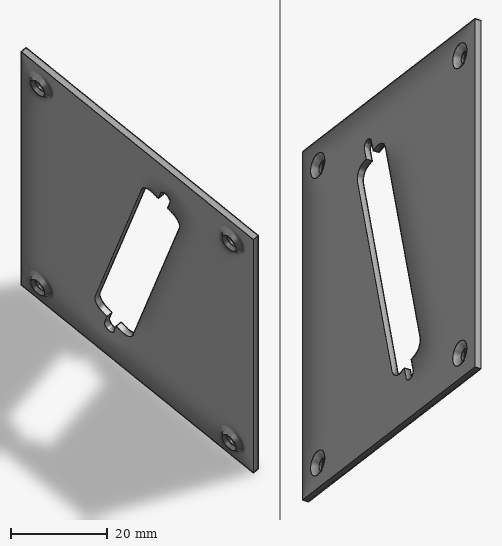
import cadquery as cq

plate_width = 68.1
plate_height = 82.0
plate_thickness = 1.5
overall_depth = 2.6
boss_height = overall_depth - plate_thickness

boss_inset = 6.0
boss_flare_radius = 3.6
boss_base_radius = 2.9
boss_rim_radius = 2.05
flare_height = 0.25
flare_mid_radius = 3.16
flare_mid_height = 0.1

hole_radius = 1.3
countersink_depth = 0.8
neck_length = 0.65
rear_dimple_radius = 2.8

window_tilt = 15.0
window_width = 11.4
window_length = 58.1
window_corner_radius = 2.8
notch_width = 2.8
notch_span = 66.3

plate = cq.Workplane("XY").box(
    plate_width, plate_thickness, plate_height, centered=(True, False, True)
)


def make_boss():
    """Solid cone with a flared foot, rising toward -Y."""
    return (
        cq.Workplane("XY")
        .moveTo(0, plate_thickness / 2)
        .lineTo(boss_flare_radius, plate_thickness / 2)
        .lineTo(boss_flare_radius, 0)
        .threePointArc((flare_mid_radius, -flare_mid_height), (boss_base_radius, -flare_height))
        .lineTo(boss_rim_radius, -boss_height)
        .lineTo(0, -boss_height)
        .close()
        .revolve(360, (0, 0, 0), (0, 1, 0))
    )


def make_boss_hole():
    """Cutter with a countersink at the rim, a straight neck and a conical dimple at the rear."""
    neck_front = countersink_depth - boss_height
    return (
        cq.Workplane("XY")
        .moveTo(0, -boss_height)
        .lineTo(boss_rim_radius, -boss_height)
        .lineTo(hole_radius, neck_front)
        .lineTo(hole_radius, neck_front + neck_length)
        .lineTo(rear_dimple_radius, plate_thickness)
        .lineTo(0, plate_thickness)
        .close()
        .revolve(360, (0, 0, 0), (0, 1, 0))
    )


def make_window():
    """Rounded rectangle and notches, cut through the plate and tilted toward +X."""
    window = (
        cq.Workplane("XZ")
        .rect(window_width, window_length)
        .extrude(plate_thickness, both=True)
        .edges("|Y")
        .fillet(window_corner_radius)
    )
    notches = (
        cq.Workplane("XZ")
        .slot2D(notch_span, notch_width, 90)
        .extrude(plate_thickness, both=True)
    )
    return window.union(notches).rotate((0, 0, 0), (0, 1, 0), window_tilt)


result = plate.cut(make_window())

boss_x = plate_width / 2 - boss_inset
boss_z = plate_height / 2 - boss_inset
for x in (-boss_x, boss_x):
    for z in (-boss_z, boss_z):
        result = result.union(make_boss().translate((x, 0, z)))
        result = result.cut(make_boss_hole().translate((x, 0, z)))